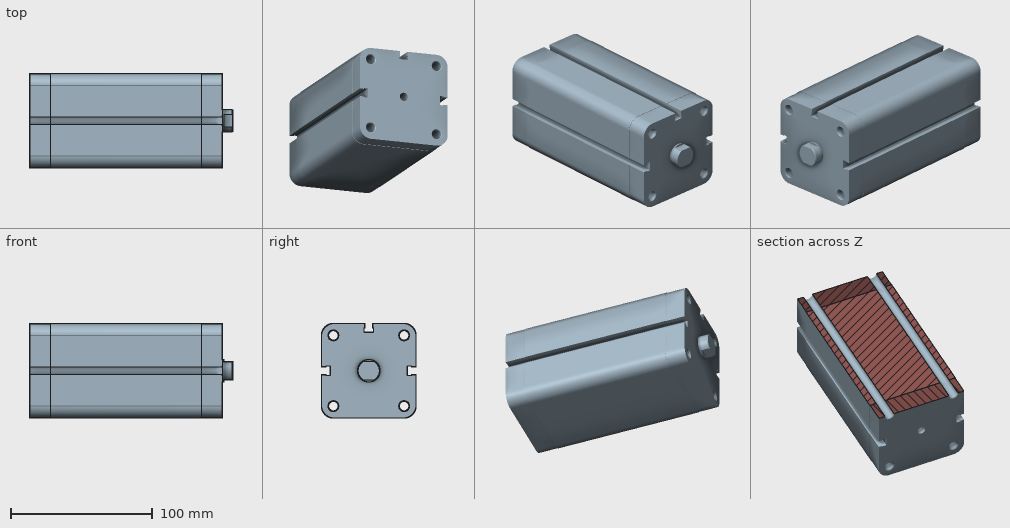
import cadquery as cq

overall_length = 143.5
rod_protrusion = 7.5
cap_length = 14.8
housing_length = overall_length - rod_protrusion
tube_length = housing_length - 2 * cap_length
rear_face_x = -overall_length / 2
tube_start_x = rear_face_x + cap_length
front_cap_x = tube_start_x + tube_length

tube_side = 67.0
tube_corner_radius = 8.6
cap_setback = 0.25
cap_side = tube_side - 2 * cap_setback
cap_corner_radius = tube_corner_radius - cap_setback

bolt_spacing = 50.0
bolt_hole_diameter = 6.7
bolt_countersink = 0.5

slot_mouth_width = 5.6
slot_inner_width = 6.6
slot_lip_depth = 3.2
slot_depth = 6.2
slot_turns = (-90, 0, 90)

centre_hole_diameter = 6.0

rod_diameter = 16.0
rod_chamfer_length = 0.7
rod_chamfer_height = 0.5
flat_distance = 13.0
rod_collar_length = 1.1


def box_in_section(start_x, length, width, bottom_z, top_z):
    """Box centred on Y = 0 that runs along X from start_x."""
    return (
        cq.Workplane("YZ", origin=(start_x, 0, 0))
        .center(0, (bottom_z + top_z) / 2)
        .rect(width, top_z - bottom_z)
        .extrude(length)
    )


def slot_cutter(start_x, length):
    """T-slot open to the +Z side, with its depth measured from the tube surface."""
    surface_z = tube_side / 2
    mouth = box_in_section(start_x, length, slot_mouth_width, surface_z - slot_depth, surface_z)
    lip_z = surface_z - slot_lip_depth
    channel = box_in_section(start_x, length, slot_inner_width, surface_z - slot_depth, lip_z)
    return mouth.union(channel)


def housing_section(start_x, length, side, corner_radius):
    """Rounded square block with bolt holes and T-slots along its full length."""
    block = (
        cq.Workplane("YZ", origin=(start_x, 0, 0))
        .rect(side, side)
        .extrude(length)
        .edges("|X")
        .fillet(corner_radius)
    )
    bolt_holes = (
        cq.Workplane("YZ", origin=(start_x, 0, 0))
        .rect(bolt_spacing, bolt_spacing, forConstruction=True)
        .vertices()
        .circle(bolt_hole_diameter / 2)
        .extrude(length)
    )
    block = block.cut(bolt_holes)
    for turn in slot_turns:
        block = block.cut(slot_cutter(start_x, length).rotate((0, 0, 0), (1, 0, 0), turn))
    return block


def cap_blank(start_x, outer_face):
    """End cap with countersunk bolt holes in its outer face."""
    blank = housing_section(start_x, cap_length, cap_side, cap_corner_radius)
    smallest_circles = cq.selectors.RadiusNthSelector(0)
    hole_rims = blank.faces(outer_face).edges("%CIRCLE").edges(smallest_circles)
    return hole_rims.chamfer(bolt_countersink)


def axial_cylinder(start_x, length, diameter):
    """Cylinder on the X axis."""
    return cq.Workplane("YZ", origin=(start_x, 0, 0)).circle(diameter / 2).extrude(length)


def make_tube():
    return housing_section(tube_start_x, tube_length, tube_side, tube_corner_radius)


def make_rear_cap():
    centre_hole = axial_cylinder(rear_face_x, cap_length, centre_hole_diameter)
    return cap_blank(rear_face_x, "<X").cut(centre_hole)


def make_front_cap():
    rod_bore = axial_cylinder(front_cap_x, cap_length, rod_diameter)
    return cap_blank(front_cap_x, ">X").cut(rod_bore)


def make_rod():
    """Rod seated on the tube end, with flats facing +Z and -Z beyond a short collar."""
    rod_length = cap_length + rod_protrusion
    straight_length = rod_length - rod_chamfer_length
    tip_diameter = rod_diameter - 2 * rod_chamfer_height
    rod = axial_cylinder(front_cap_x, straight_length, rod_diameter)
    tip = (
        rod.faces(">X")
        .workplane()
        .circle(rod_diameter / 2)
        .workplane(offset=rod_chamfer_length)
        .circle(tip_diameter / 2)
        .loft(combine=False)
    )
    rod = rod.union(tip)
    flats_start_x = front_cap_x + cap_length + rod_collar_length
    flats_length = rod_protrusion - rod_collar_length
    radius = rod_diameter / 2
    half_flats = flat_distance / 2
    top_cut = box_in_section(flats_start_x, flats_length, rod_diameter, half_flats, radius)
    bottom_cut = box_in_section(flats_start_x, flats_length, rod_diameter, -radius, -half_flats)
    return rod.cut(top_cut).cut(bottom_cut)


tube = make_tube()
rear_cap = make_rear_cap()
front_cap = make_front_cap()
rod = make_rod()

result = cq.Compound.makeCompound([tube.val(), rear_cap.val(), front_cap.val(), rod.val()])